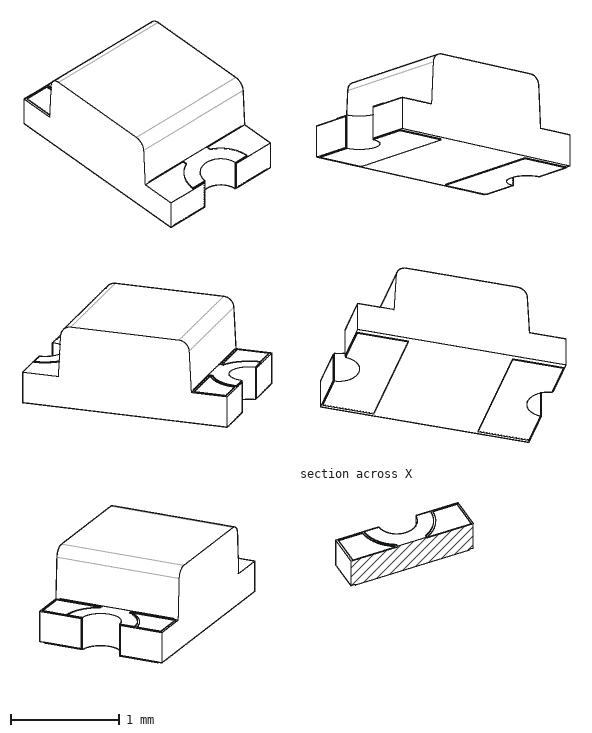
import cadquery as cq
import math

length = 2.0
width = 1.25
height = 0.81

plating = 0.01
substrate_bottom = plating
substrate_top = 0.31
end_setback = 0.01

notch_radius = 0.20
plated_radius = notch_radius - plating

pad_inner_x = 0.5
pad_width = 1.16
ring_radius = 0.34
lead_width = 0.30

body_length = 1.30
body_draft = math.radians(3)
body_fillet = 0.10

patch_gap = 0.02
patch_thickness = 0.005

end_x = length / 2
metal_end_x = end_x - end_setback
body_end_x = body_length / 2


def block(x_min, x_max, y_min, y_max, z_min, z_max):
    """Box given by its limits along the three axes."""
    size = (x_max - x_min, y_max - y_min, z_max - z_min)
    return cq.Workplane("XY").box(*size, centered=False).translate((x_min, y_min, z_min))


def end_cylinder(radius, z_min, z_max):
    """Upright cylinder centred on the middle of the -X end face."""
    return cq.Workplane("XY", origin=(-end_x, 0, z_min)).circle(radius).extrude(z_max - z_min)


def both_ends(shape):
    """The -X shape together with its mirror image at the +X end."""
    return shape.union(shape.mirror("YZ"))


def make_substrate():
    board = block(-end_x, end_x, -width / 2, width / 2, substrate_bottom, substrate_top)
    return board.cut(both_ends(end_cylinder(notch_radius, substrate_bottom, substrate_top)))


def ring_outline(grow, z_min, z_max):
    """Ring pad with its lead running to the body, enlarged all round by grow."""
    half_lead = lead_width / 2 + grow
    lead = block(-end_x, -body_end_x, -half_lead, half_lead, z_min, z_max)
    return end_cylinder(ring_radius + grow, z_min, z_max).union(lead)


def make_end_metal():
    """Ring pad, foot pad, notch lining and bottom pad of the -X end."""
    pad_top = substrate_top + plating
    half_pad = pad_width / 2
    lining = end_cylinder(notch_radius, 0, pad_top)
    ring = ring_outline(0, substrate_top, pad_top)
    foot_pad = block(-body_end_x, -pad_inner_x, -half_pad, half_pad, substrate_top, pad_top)
    bottom_pad = block(-end_x, -pad_inner_x, -half_pad, half_pad, 0, substrate_bottom)
    metal_limit = block(-metal_end_x, 0, -half_pad, half_pad, 0, pad_top)
    metal = lining.union(ring).union(foot_pad).union(bottom_pad).intersect(metal_limit)
    return metal.cut(end_cylinder(plated_radius, 0, pad_top))


def make_body():
    top_half = body_end_x - (height - substrate_top) * math.tan(body_draft)
    profile = [
        (-body_end_x, substrate_top),
        (body_end_x, substrate_top),
        (top_half, height),
        (-top_half, height),
    ]
    body = cq.Workplane("XZ").polyline(profile).close().extrude(width / 2, both=True)
    return body.faces(">Z").edges("|Y").fillet(body_fillet)


def make_patches():
    """Thin patches filling the -X ledge, one gap away from everything around them."""
    patch_top = substrate_top + patch_thickness
    half_width = width / 2 - patch_gap
    ledge = block(
        -end_x + patch_gap, -body_end_x - patch_gap, -half_width, half_width, substrate_top, patch_top
    )
    return ledge.cut(ring_outline(patch_gap, substrate_top, patch_top))


result = make_substrate().union(make_body()).union(both_ends(make_end_metal())).union(make_patches())